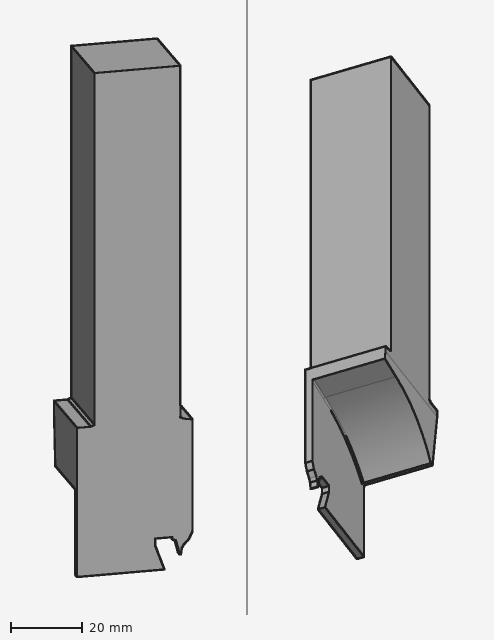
import cadquery as cq
import math

shank_side = 25.0
total_height = 149.0
head_depth = 33.7
front_overhang = 5.0
shoulder_z = 44.3
shank_back_y = front_overhang + shank_side

transition_width = 1.0
transition_height = 0.5
back_shoulder_drop = 0.5

blade_thickness = 2.2
support_bottom_z = 25.3
support_back_z = 39.5
flat_length = 1.2
arc_mid_y = 14.2
arc_mid_z = 34.7
straight_length = 7.5
straight_end_z = 38.3
root_radius = 0.5
taper_start_z = 42.0
taper_angle = 5.0

corner_z = 10.7
slot_top_z = 9.4
slot_wall_y = head_depth - 10.9
slot_wall_bottom_z = 7.3
slot_mouth_y = head_depth - 8.2
slot_back_y = head_depth - 6.0

tip_z = 4.0
tip_inner_flank = [(5.8, 8.6), (4.9, 8.3), (4.5, 6.9), (3.7, tip_z)]
tip_outer_flank = [(3.5, tip_z), (3.1, 6.0), (2.5, 7.0), (1.0, 8.5)]


def yz_prism(start_x, width, outline):
    """Extrude a closed YZ outline toward +X."""
    return outline(cq.Workplane("YZ", origin=(start_x, 0, 0))).close().extrude(width)


def shoulder_outline(sketch):
    """Top edge of the head, from back to front, with sloped shank transitions."""
    return (
        sketch.lineTo(head_depth, shoulder_z - back_shoulder_drop)
        .lineTo(shank_back_y + transition_width, shoulder_z)
        .lineTo(shank_back_y, shoulder_z + transition_height)
        .lineTo(front_overhang, shoulder_z + transition_height)
        .lineTo(front_overhang - transition_width, shoulder_z)
        .lineTo(0, shoulder_z)
    )


def support_outline(sketch):
    """Thick head with a curved underside."""
    underside = (
        sketch.moveTo(0, support_bottom_z)
        .lineTo(flat_length, support_bottom_z)
        .threePointArc((arc_mid_y, arc_mid_z), (head_depth - straight_length, straight_end_z))
        .lineTo(head_depth, support_back_z)
    )
    return shoulder_outline(underside)


def blade_outline(sketch):
    """Thin blade with a pointed tip beside the insert slot."""
    lower_edge = (
        sketch.moveTo(0, 0)
        .lineTo(slot_mouth_y, 0)
        .lineTo(slot_wall_y, slot_wall_bottom_z)
        .lineTo(slot_wall_y, slot_top_z)
        .lineTo(slot_back_y, slot_top_z)
    )
    for inset, height in tip_inner_flank + tip_outer_flank:
        lower_edge = lower_edge.lineTo(head_depth - inset, height)
    return shoulder_outline(lower_edge.lineTo(head_depth, corner_z))


shank = cq.Workplane("XY").box(
    shank_side, shank_side, total_height - shoulder_z, centered=False
).translate((0, front_overhang, shoulder_z))

blade_x = shank_side - blade_thickness
support = yz_prism(0, shank_side, support_outline)
blade = yz_prism(blade_x, blade_thickness, blade_outline)
head = support.union(blade)

root_box = cq.selectors.BoxSelector(
    (blade_x - root_radius, -root_radius, support_bottom_z - root_radius),
    (blade_x + root_radius, head_depth + root_radius, support_back_z + root_radius),
    boundingbox=True,
)
head = head.edges(root_box).fillet(root_radius)

taper_height = taper_start_z - support_bottom_z
taper_depth = taper_height * math.tan(math.radians(taper_angle))
taper_cut = (
    cq.Workplane("XZ")
    .moveTo(0, taper_start_z)
    .lineTo(0, support_bottom_z)
    .lineTo(taper_depth, support_bottom_z)
    .close()
    .extrude(-head_depth)
)

result = shank.union(head).cut(taper_cut)